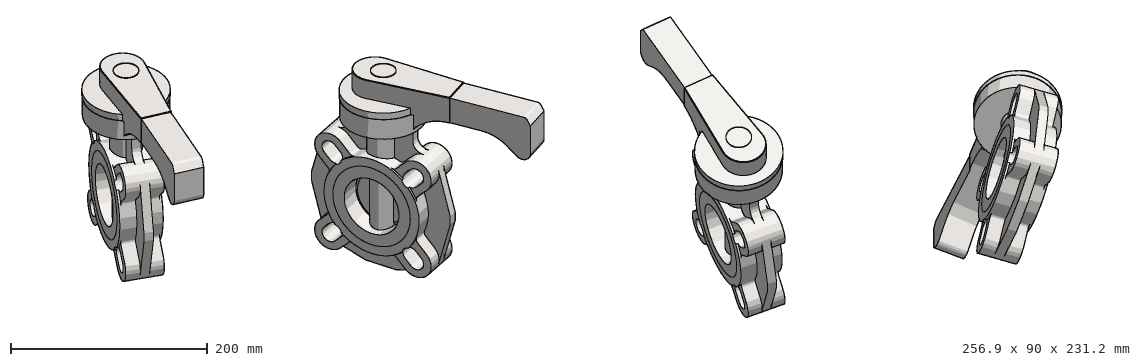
import cadquery as cq
import math


bore_dia = 65.0
liner_dia = 92.0
ring_dia = 113.0
face_to_face = 46.0

lug_radius = 18.0
lug_width = 41.0
slot_width = 18.0
slot_outer_pitch_dia = 145.0
slot_inner_pitch_dia = 127.0
lug_blend_radius = 5.0
lug_angles = (45.0, 135.0, 225.0, 315.0)

web_thickness = 10.0
web_half_width = 82.5
web_side_flat_half = 5.0
web_bottom_z = -80.0
web_bottom_flat_half = 18.2
shoulder_half_width = 38.0
shoulder_blend_radius = 12.0

neck_dia = 34.0
collar_dia = 89.0
collar_bottom_z = 96.3
collar_top_z = 120.0

stem_dia = 28.0
disc_thickness = 5.0
disc_bevel_width = 3.3
disc_bevel_depth = 2.0

base_dia = 90.0
base_top_z = 128.0
handle_angle = 5.4
head_radius = 23.3
head_centre = -9.5
head_end = 83.0
head_end_half_width = 16.8
head_top_z = 150.4
head_edge_chamfer = 0.7
cap_dia = 26.1
cap_height = 0.84
grip_end = 173.7
grip_half_width = 16.1
grip_top_z = 149.6

hollow_radius = 46.0
hollow_end_slope = 45.0
head_hollow_end = 79.0
grip_hollow_start = 118.5
grip_tip_radius = 9.2
grip_tip_z = 107.6
tip_chamfer_run = 4.8
tip_chamfer_drop = 8.5
tip_chamfer_blend = 4.7
skirt_start_x = base_dia / 2
skirt_root = 40.0

slot_outer_pitch = slot_outer_pitch_dia / 2
slot_inner_pitch = slot_inner_pitch_dia / 2
lug_centre = slot_outer_pitch / math.sqrt(2)
neck_root_z = liner_dia / 2


def prism_along_y(outline, width):
    """Extrude an XZ outline symmetrically about the XZ plane."""
    return outline.extrude(width / 2, both=True)


def cylinder_along_y(diameter, width):
    return prism_along_y(cq.Workplane("XZ").circle(diameter / 2), width)


def cylinder_along_z(diameter, bottom_z, top_z):
    outline = cq.Workplane("XY").workplane(offset=bottom_z).circle(diameter / 2)
    return outline.extrude(top_z - bottom_z)


def tangent_point(corner, centre, radius, side):
    """Point where the line from corner touches the circle; side (+1 or -1) picks one of the two."""
    dx = corner[0] - centre[0]
    dz = corner[1] - centre[1]
    direction = math.atan2(dz, dx) + side * math.acos(radius / math.hypot(dx, dz))
    return (centre[0] + radius * math.cos(direction), centre[1] + radius * math.sin(direction))


def web_plate():
    """Flat plate through the lugs, with shoulders rising to the collar."""
    upper_lug = (lug_centre, lug_centre)
    lower_lug = (lug_centre, -lug_centre)
    side_top = (web_half_width, web_side_flat_half)
    side_bottom = (web_half_width, -web_side_flat_half)
    bottom = (web_bottom_flat_half, web_bottom_z)
    upper_touch = tangent_point(side_top, upper_lug, lug_radius, 1)
    lower_touch = tangent_point(side_bottom, lower_lug, lug_radius, -1)
    bottom_touch = tangent_point(bottom, lower_lug, lug_radius, 1)

    blend_x = shoulder_half_width + shoulder_blend_radius
    centre_gap = lug_radius + shoulder_blend_radius
    blend_z = lug_centre + math.sqrt(centre_gap**2 - (blend_x - lug_centre) ** 2)
    share = lug_radius / centre_gap
    shoulder_touch = (
        lug_centre + share * (blend_x - lug_centre),
        lug_centre + share * (blend_z - lug_centre),
    )
    lug_direction = math.atan2(lug_centre - blend_z, lug_centre - blend_x) % (2 * math.pi)
    blend_mid_angle = (math.pi + lug_direction) / 2
    blend_mid = (
        blend_x + shoulder_blend_radius * math.cos(blend_mid_angle),
        blend_z + shoulder_blend_radius * math.sin(blend_mid_angle),
    )

    half = (
        cq.Workplane("XZ")
        .moveTo(0, web_bottom_z)
        .lineTo(*bottom)
        .lineTo(*bottom_touch)
        .lineTo(*lower_lug)
        .lineTo(*lower_touch)
        .lineTo(*side_bottom)
        .lineTo(*side_top)
        .lineTo(*upper_touch)
        .lineTo(*upper_lug)
        .lineTo(*shoulder_touch)
        .threePointArc(blend_mid, (shoulder_half_width, blend_z))
        .lineTo(shoulder_half_width, collar_bottom_z)
        .lineTo(0, collar_bottom_z)
        .close()
    )
    plate = prism_along_y(half, web_thickness)
    return plate.union(plate.mirror("YZ"))


def lug(angle):
    """Round-ended lug along a radius, blended into the ring on both flanks."""
    ring_radius = ring_dia / 2
    blend_offset = lug_radius + lug_blend_radius
    blend_along = math.sqrt((ring_radius + lug_blend_radius) ** 2 - blend_offset**2)
    share = ring_radius / (ring_radius + lug_blend_radius)
    ring_touch = (share * blend_along, share * blend_offset)
    mid_angle = (math.atan2(-blend_offset, -blend_along) - math.pi / 2) / 2
    blend_mid = (
        blend_along + lug_blend_radius * math.cos(mid_angle),
        blend_offset + lug_blend_radius * math.sin(mid_angle),
    )
    outline = (
        cq.Workplane("XZ")
        .moveTo(0, 0)
        .lineTo(*ring_touch)
        .threePointArc(blend_mid, (blend_along, lug_radius))
        .lineTo(slot_outer_pitch, lug_radius)
        .threePointArc((slot_outer_pitch + lug_radius, 0), (slot_outer_pitch, -lug_radius))
        .lineTo(blend_along, -lug_radius)
        .threePointArc((blend_mid[0], -blend_mid[1]), (ring_touch[0], -ring_touch[1]))
        .close()
    )
    return prism_along_y(outline, lug_width).rotate((0, 0, 0), (0, 1, 0), angle)


def lug_slot(angle):
    slot_centre = (slot_outer_pitch + slot_inner_pitch) / 2
    slot_length = slot_outer_pitch - slot_inner_pitch + slot_width
    outline = cq.Workplane("XZ").center(slot_centre, 0).slot2D(slot_length, slot_width)
    return prism_along_y(outline, face_to_face).rotate((0, 0, 0), (0, 1, 0), angle)


def make_housing():
    housing = cylinder_along_y(ring_dia, face_to_face).union(web_plate())
    for angle in lug_angles:
        housing = housing.union(lug(angle))
    for angle in lug_angles:
        housing = housing.cut(lug_slot(angle))
    housing = housing.union(cylinder_along_z(neck_dia, neck_root_z, collar_bottom_z))
    housing = housing.union(cylinder_along_z(collar_dia, collar_bottom_z, collar_top_z))
    return housing.cut(cylinder_along_y(liner_dia, face_to_face))


def make_liner():
    return cylinder_along_y(liner_dia, face_to_face).cut(cylinder_along_y(bore_dia, face_to_face))


def make_disc():
    """Closing disc with bevelled rims; the stem ends follow the bore wall."""
    rim_radius = bore_dia / 2
    face_radius = rim_radius - disc_bevel_width
    half_thickness = disc_thickness / 2
    rim_half_thickness = half_thickness - disc_bevel_depth
    plate = (
        cq.Workplane("XY")
        .moveTo(0, -half_thickness)
        .lineTo(face_radius, -half_thickness)
        .lineTo(rim_radius, -rim_half_thickness)
        .lineTo(rim_radius, rim_half_thickness)
        .lineTo(face_radius, half_thickness)
        .lineTo(0, half_thickness)
        .close()
        .revolve(360, (0, 0, 0), (0, 1, 0))
    )
    stem = cylinder_along_z(stem_dia, -rim_radius, rim_radius)
    return plate.union(stem.intersect(cylinder_along_y(bore_dia, face_to_face)))


def head_blank():
    """Tapered head plan with a round end, as a tall prism with a bevelled top rim."""
    corner = (head_end, head_end_half_width)
    touch = tangent_point(corner, (head_centre, 0), head_radius, 1)
    return (
        cq.Workplane("XY")
        .workplane(offset=collar_bottom_z)
        .moveTo(head_end, -head_end_half_width)
        .lineTo(*corner)
        .lineTo(*touch)
        .threePointArc((head_centre - head_radius, 0), (touch[0], -touch[1]))
        .close()
        .extrude(head_top_z - collar_bottom_z)
        .faces(">Z")
        .chamfer(head_edge_chamfer)
    )


def hollow_point(flat_end, angle):
    """Point on the hollow under the handle, at an angle from the arc's crown above flat_end."""
    return (
        flat_end + hollow_radius * math.sin(angle),
        collar_top_z - hollow_radius + hollow_radius * math.cos(angle),
    )


def head_side_profile():
    """Side of the head: flat underside, with an arc sweeping down beside the collar."""
    head_back = head_centre - head_radius
    skirt_angle = -math.asin((head_hollow_end - skirt_root) / hollow_radius)
    skirt_tip = hollow_point(head_hollow_end, skirt_angle)
    outline = (
        cq.Workplane("XZ")
        .moveTo(head_back, collar_top_z)
        .lineTo(skirt_tip[0], collar_top_z)
        .lineTo(*skirt_tip)
        .threePointArc(hollow_point(head_hollow_end, skirt_angle / 2), (head_hollow_end, collar_top_z))
        .lineTo(head_end, collar_top_z)
        .lineTo(head_end, head_top_z)
        .lineTo(head_back, head_top_z)
        .close()
    )
    return prism_along_y(outline, base_dia)


def grip():
    """Straight grip: hollow underside running down a slope into a rounded tip."""
    slope = math.radians(hollow_end_slope)
    tip_x = grip_end - grip_tip_radius
    tip_bottom_z = grip_tip_z - grip_tip_radius
    tip_touch = (tip_x - grip_tip_radius * math.sin(slope), grip_tip_z - grip_tip_radius * math.cos(slope))
    outline = (
        cq.Workplane("XZ")
        .moveTo(head_end, collar_top_z)
        .lineTo(grip_hollow_start, collar_top_z)
        .threePointArc(hollow_point(grip_hollow_start, slope / 2), hollow_point(grip_hollow_start, slope))
        .lineTo(*tip_touch)
        .threePointArc((tip_x, tip_bottom_z), (grip_end, grip_tip_z))
        .lineTo(grip_end, grip_top_z - tip_chamfer_drop)
        .lineTo(grip_end - tip_chamfer_run, grip_top_z)
        .lineTo(head_end, grip_top_z)
        .close()
    )
    tip_edge = cq.selectors.NearestToPointSelector((grip_end - tip_chamfer_run, 0, grip_top_z))
    return prism_along_y(outline, 2 * grip_half_width).edges(tip_edge).fillet(tip_chamfer_blend)


def make_handle():
    lever = head_blank().intersect(head_side_profile()).union(grip())
    lever = lever.rotate((0, 0, 0), (0, 0, 1), handle_angle)
    clearance = cq.Workplane("XY").box(
        2 * skirt_start_x, base_dia, collar_top_z - collar_bottom_z, centered=(True, True, False)
    )
    lever = lever.cut(clearance.translate((0, 0, collar_bottom_z)))
    base = cylinder_along_z(base_dia, collar_top_z, base_top_z)
    cap = cylinder_along_z(cap_dia, base_top_z, head_top_z + cap_height)
    return base.union(lever).union(cap)


housing = make_housing()
liner = make_liner()
disc = make_disc()
handle = make_handle()

result = cq.Compound.makeCompound([housing.val(), liner.val(), disc.val(), handle.val()])